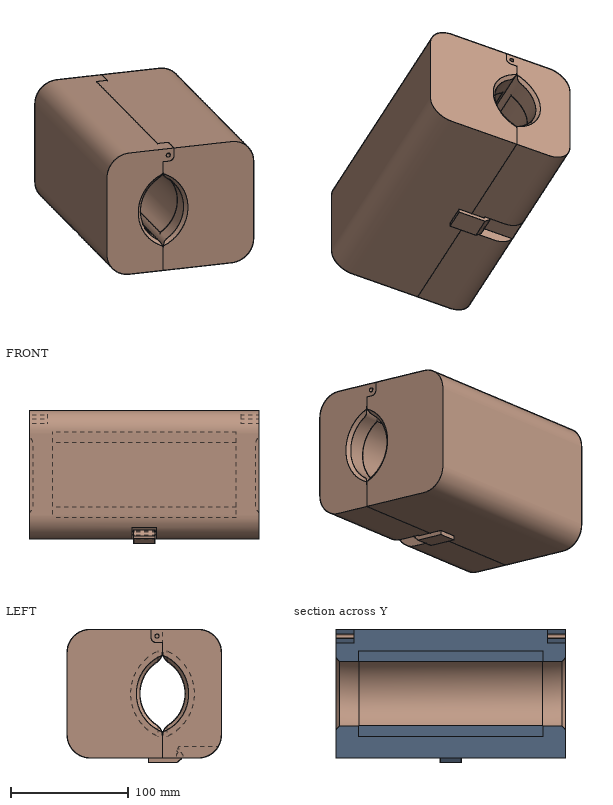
import cadquery as cq
import math


length = 196.0
rear_depth = 81.5
front_depth = 50.4
height = 110.0
corner_radius = 20.0
top_z = height / 2
bottom_z = -height / 2
left_x = -length / 2

bore_radius = 32.3
arc_center_offset = 13.0
lip_radius = 9.8
mouth_chamfer = 3.0

end_wall = 19.6
pad_length = length - 2 * end_wall
pad_thickness = 7.8
pad_proud = 0.2
pad_seam_gap = 4.0
pad_edge_radius = 2.0

ear_length = 15.3
ear_reach = 9.8
ear_height = 11.4
ear_radius = 4.5
pin_hole_diameter = 3.5
pin_hole_y = 4.7
pin_hole_drop = 5.9

overall_height = 113.7
latch_width = 18.0
latch_thickness = overall_height - height
latch_rear_y = 12.0
latch_plate_front_y = -12.5
latch_nose_y = -17.5
latch_nose_low = 0.5
latch_nose_high = 2.5
latch_tip_height = 7.8
latch_tip_outer_y = -14.0
latch_tip_inner_y = -12.7
pocket_width = 20.8
pocket_height = 9.8
pocket_wall_y = -11.8
pocket_wall_height = 6.9
pocket_roof_y = -14.1
catch_diameter = 2.5
catch_height = 4.9


def prism(points, x_start, x_length):
    """Extrudes a closed YZ outline along X."""
    return cq.Workplane("YZ", origin=(x_start, 0, 0)).polyline(points).close().extrude(x_length)


def yz_box(y_from, y_to, z_from, z_to, x_start, x_length):
    corners = [(y_from, z_from), (y_to, z_from), (y_to, z_to), (y_from, z_to)]
    return prism(corners, x_start, x_length)


def arc_segment(side, radius, x_start, x_length):
    """Part of a bore cylinder that lies in one half; side is 1 for rear, -1 for front."""
    seam_z = math.sqrt(radius**2 - arc_center_offset**2)
    apex_y = side * (radius - arc_center_offset)
    plane = cq.Workplane("YZ", origin=(x_start, 0, 0))
    return plane.moveTo(0, -seam_z).threePointArc((apex_y, 0), (0, seam_z)).close().extrude(x_length)


def bore_mouth(side):
    """45-degree cone that widens the left end of the bore; it narrows on into the open bore."""
    wide_radius = bore_radius + mouth_chamfer
    narrow_radius = bore_radius - mouth_chamfer
    center = cq.Vector(left_x, -side * arc_center_offset, 0)
    cone = cq.Solid.makeCone(wide_radius, narrow_radius, 2 * mouth_chamfer, center, cq.Vector(1, 0, 0))
    return cq.Workplane(cone)


def pad_blank(side):
    """Pad before its bore is cut: an arc segment kept clear of the seam."""
    outer_radius = bore_radius + pad_thickness
    blank = arc_segment(side, outer_radius, -pad_length / 2, pad_length)
    seam_strip = yz_box(0, side * pad_seam_gap, bottom_z, top_z, -pad_length / 2, pad_length)
    return blank.cut(seam_strip)


def bore_pad(side):
    bore = arc_segment(side, bore_radius - pad_proud, -pad_length / 2, pad_length)
    pad = pad_blank(side).cut(bore)
    edge_y = side * pad_seam_gap
    edge_z = math.sqrt((bore_radius - pad_proud) ** 2 - (pad_seam_gap + arc_center_offset) ** 2)
    for z in (-edge_z, edge_z):
        pad = pad.edges(cq.NearestToPointSelector((0, edge_y, z))).fillet(pad_edge_radius)
    return pad


def housing_block(side, depth):
    """Block with its half of the bore; the bore runs into the seam face over rounded lips."""
    lip_reach = bore_radius + lip_radius
    lip_center_z = math.sqrt(lip_reach**2 - (arc_center_offset + lip_radius) ** 2)
    tangent_angle = math.asin(lip_center_z / lip_reach)
    tangent_y = bore_radius * math.cos(tangent_angle) - arc_center_offset
    tangent_z = bore_radius * math.sin(tangent_angle)
    lip_middle_y = lip_radius * (1 - math.cos(tangent_angle / 2))
    lip_middle_z = lip_center_z - lip_radius * math.sin(tangent_angle / 2)
    outline = (
        cq.Workplane("YZ", origin=(left_x, 0, 0))
        .moveTo(0, bottom_z)
        .lineTo(0, -lip_center_z)
        .threePointArc((side * lip_middle_y, -lip_middle_z), (side * tangent_y, -tangent_z))
        .threePointArc((side * (bore_radius - arc_center_offset), 0), (side * tangent_y, tangent_z))
        .threePointArc((side * lip_middle_y, lip_middle_z), (0, lip_center_z))
        .lineTo(0, top_z)
        .lineTo(side * depth, top_z)
        .lineTo(side * depth, bottom_z)
        .close()
    )
    return outline.extrude(length)


def housing_half(side, depth):
    """Block with rounded outer edges, a widened bore mouth at each end and the recess for its pad."""
    half = housing_block(side, depth)
    half = half.edges("|X").edges(">Y" if side > 0 else "<Y").fillet(corner_radius)
    mouth = bore_mouth(side)
    half = half.cut(mouth).cut(mouth.mirror("YZ"))
    return half.cut(pad_blank(side))


def ear(x_start):
    block = yz_box(0, ear_reach, top_z - ear_height, top_z, x_start, ear_length)
    return block.edges("|X and >Y and <Z").fillet(ear_radius)


def pin_hole(x_start):
    center = (x_start, pin_hole_y, top_z - pin_hole_drop)
    return cq.Workplane("YZ", origin=center).circle(pin_hole_diameter / 2).extrude(ear_length)


def catch_bar():
    center = (-pocket_width / 2, pocket_wall_y, bottom_z + catch_height)
    return cq.Workplane("YZ", origin=center).circle(catch_diameter / 2).extrude(pocket_width)


def latch_pocket():
    """Opening in the lower front corner, with a sloped inner corner under its roof."""
    outline = [
        (pocket_wall_y, bottom_z),
        (pocket_wall_y, bottom_z + pocket_wall_height),
        (pocket_roof_y, bottom_z + pocket_height),
        (-front_depth, bottom_z + pocket_height),
        (-front_depth, bottom_z),
    ]
    return prism(outline, -pocket_width / 2, pocket_width)


def latch_hook():
    """Plate under the seam, turned up at the front around the catch bar."""
    outline = [
        (latch_rear_y, bottom_z),
        (latch_rear_y, bottom_z - latch_thickness),
        (latch_plate_front_y, bottom_z - latch_thickness),
        (latch_nose_y, bottom_z + latch_nose_low),
        (latch_nose_y, bottom_z + latch_nose_high),
        (latch_tip_outer_y, bottom_z + latch_tip_height),
        (latch_tip_inner_y, bottom_z + latch_tip_height),
        (pocket_wall_y, bottom_z + pocket_wall_height),
        (pocket_wall_y, bottom_z),
    ]
    return prism(outline, -latch_width / 2, latch_width).cut(catch_bar())


rear_half = housing_half(1, rear_depth)
front_half = housing_half(-1, front_depth)
for ear_x in (left_x, -left_x - ear_length):
    rear_half = rear_half.cut(ear(ear_x))
    front_half = front_half.union(ear(ear_x)).cut(pin_hole(ear_x))
front_half = front_half.cut(latch_pocket()).union(catch_bar())

latch = latch_hook()
pads = [bore_pad(side) for side in (1, -1)]

result = cq.Compound.makeCompound(
    [rear_half.val(), front_half.val(), latch.val(), *[pad.val() for pad in pads]]
)